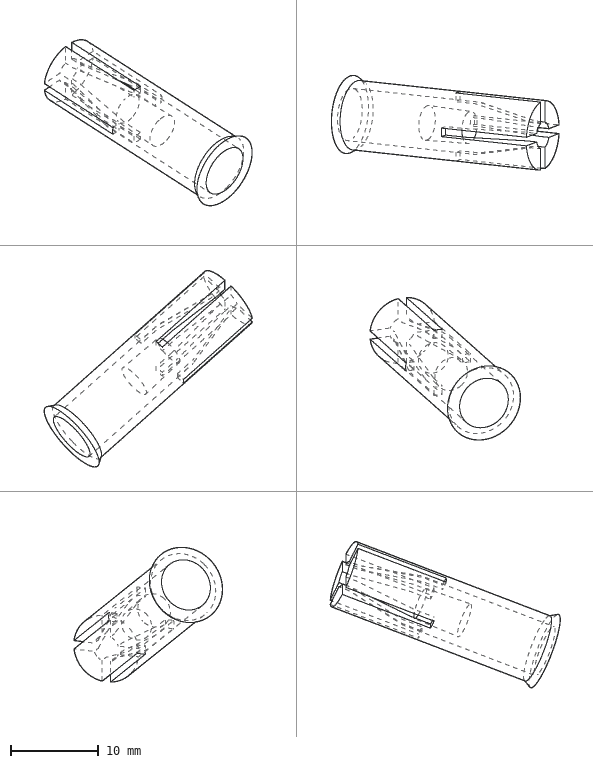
import cadquery as cq

length = 25.0
body_radius = 8.0 / 2
flange_radius = 9.0 / 2
flange_length = 0.88

throat_radius = 3.1 / 2
throat_length = 1.25
bore_radius = 6.0 / 2
cone_end = 8.5

slot_width = 1.0
slot_length = 11.0
slot_angles = (0, 90)

plug_start = 9.5
plug_length = 5.5
plug_tip_radius = 3.7 / 2
plug_radius = 4.0 / 2


def revolve_about_x(profile):
    """Turn a closed (x, radius) profile about the X axis."""
    return cq.Workplane("XY").polyline(profile).close().revolve(360, (0, 0, 0), (1, 0, 0))


def make_slot(angle):
    """Slot through the full diameter, open at the split end."""
    slot = cq.Workplane("XY").box(
        slot_length, 2 * flange_radius, slot_width, centered=(False, True, True)
    )
    return slot.rotate((0, 0, 0), (1, 0, 0), angle)


def make_sleeve():
    sleeve = revolve_about_x([
        (0, throat_radius),
        (0, body_radius),
        (length - flange_length, body_radius),
        (length, flange_radius),
        (length, bore_radius),
        (cone_end, bore_radius),
        (throat_length, throat_radius),
    ])
    for angle in slot_angles:
        sleeve = sleeve.cut(make_slot(angle))
    return sleeve


def make_plug():
    plug_end = plug_start + plug_length
    return revolve_about_x([
        (plug_start, 0),
        (plug_start, plug_tip_radius),
        (plug_end, plug_radius),
        (plug_end, 0),
    ])


sleeve = make_sleeve()
plug = make_plug()

result = cq.Compound.makeCompound([sleeve.val(), plug.val()])